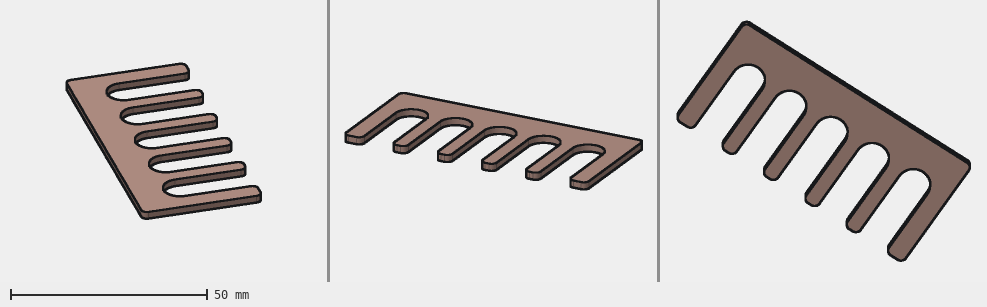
import cadquery as cq

length = 69.85
width = 31.75
thickness = 2.0
corner_radius = 1.5

slot_count = 5
slot_pitch = 12.7
slot_width = 8.66
slot_straight_length = 19.05

slot_radius = slot_width / 2
back_edge = width / 2
slot_centers_x = [(i - (slot_count - 1) / 2) * slot_pitch for i in range(slot_count)]


def make_plate():
    """Rectangular plate with rounded vertical corners, standing on Z = 0."""
    plate = cq.Workplane("XY").box(length, width, thickness, centered=(True, True, False))
    return plate.edges("|Z").fillet(corner_radius)


def make_slot(center_x):
    """Slot cutter open at the +Y edge, its mouth flared to round the finger tips."""
    left = center_x - slot_radius
    right = center_x + slot_radius
    round_center_y = back_edge - slot_straight_length
    flare_start_y = back_edge - corner_radius
    return (
        cq.Workplane("XY")
        .moveTo(left - corner_radius, back_edge)
        .radiusArc((left, flare_start_y), corner_radius)
        .lineTo(left, round_center_y)
        .threePointArc((center_x, round_center_y - slot_radius), (right, round_center_y))
        .lineTo(right, flare_start_y)
        .radiusArc((right + corner_radius, back_edge), corner_radius)
        .close()
        .extrude(thickness)
    )


result = make_plate()
for slot_center_x in slot_centers_x:
    result = result.cut(make_slot(slot_center_x))